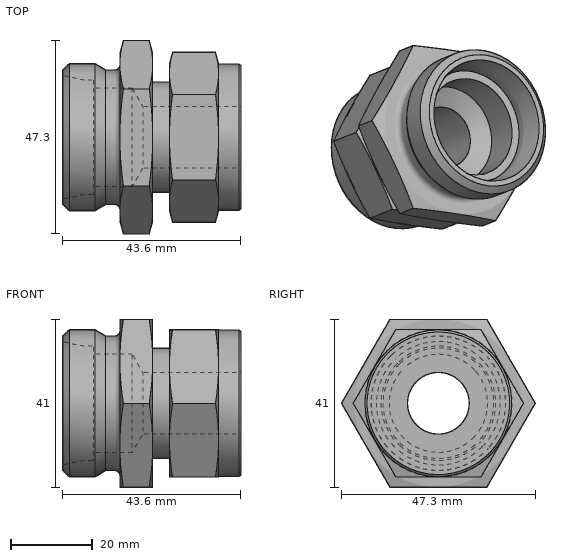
import cadquery as cq
import math

mouth_chamfer_end = 1.65
thread_end = 7.9
undercut_start = 10.5
undercut_end = 12.7
body_hex_start = 14.0
body_hex_end = 22.0
nut_start = 26.1
nut_end = 38.07
overall_length = 43.6

mouth_diameter = 32.8
thread_diameter = 36.0
undercut_diameter = 32.9
neck_diameter = 27.0
collar_diameter = 35.8
body_across_flats = 41.0
nut_across_flats = 36.0
collar_chamfer = 0.5
hex_chamfer_angle = 15.0
hex_sides = 6
hex_half_sector = 180.0 / hex_sides

tube_diameter = 27.95
cone_mouth_diameter = 30.2
cone_half_angle = 12.0
socket_depth = 7.5
bore_diameter = 24.0
bore_depth = 17.0
throat_diameter = 15.0
throat_cone_half_angle = 60.0


def make_turned_body():
    """Solid of revolution holding the male end, the neck and the rear collar."""
    fillet_size = body_hex_start - undercut_end
    undercut_radius = undercut_diameter / 2
    fillet_top_radius = undercut_radius + fillet_size
    arc_middle_offset = fillet_size * math.sqrt(0.5)
    fillet_middle = (undercut_end + arc_middle_offset, fillet_top_radius - arc_middle_offset)
    neck_radius = neck_diameter / 2
    collar_radius = collar_diameter / 2
    return (
        cq.Workplane("XY")
        .moveTo(0, 0)
        .lineTo(0, mouth_diameter / 2)
        .lineTo(mouth_chamfer_end, thread_diameter / 2)
        .lineTo(thread_end, thread_diameter / 2)
        .lineTo(undercut_start, undercut_radius)
        .lineTo(undercut_end, undercut_radius)
        .threePointArc(fillet_middle, (body_hex_start, fillet_top_radius))
        .lineTo(body_hex_end, fillet_top_radius)
        .lineTo(body_hex_end, neck_radius)
        .lineTo(nut_start, neck_radius)
        .lineTo(nut_start, collar_radius)
        .lineTo(overall_length - collar_chamfer, collar_radius)
        .lineTo(overall_length, collar_radius - collar_chamfer)
        .lineTo(overall_length, 0)
        .close()
        .revolve(360, (0, 0, 0), (1, 0, 0))
    )


def make_hex(start, end, across_flats):
    """Hexagon along X, corners on +-Y, with both ends turned to a shallow cone."""
    flat_radius = across_flats / 2
    corner_radius = flat_radius / math.cos(math.radians(hex_half_sector))
    chamfer_length = (corner_radius - flat_radius) * math.tan(math.radians(hex_chamfer_angle))
    prism = (
        cq.Workplane("YZ")
        .workplane(offset=start)
        .polygon(hex_sides, 2 * corner_radius)
        .extrude(end - start)
    )
    turned_envelope = (
        cq.Workplane("XY")
        .moveTo(start, 0)
        .lineTo(start, flat_radius)
        .lineTo(start + chamfer_length, corner_radius)
        .lineTo(end - chamfer_length, corner_radius)
        .lineTo(end, flat_radius)
        .lineTo(end, 0)
        .close()
        .revolve(360, (0, 0, 0), (1, 0, 0))
    )
    return prism.intersect(turned_envelope)


def make_bore():
    """Stepped through bore as a solid of revolution to be cut away."""
    tube_radius = tube_diameter / 2
    cone_mouth_radius = cone_mouth_diameter / 2
    cone_length = (cone_mouth_radius - tube_radius) / math.tan(math.radians(cone_half_angle))
    bore_radius = bore_diameter / 2
    throat_radius = throat_diameter / 2
    throat_cone_length = (bore_radius - throat_radius) / math.tan(math.radians(throat_cone_half_angle))
    return (
        cq.Workplane("XY")
        .moveTo(0, 0)
        .lineTo(0, cone_mouth_radius)
        .lineTo(cone_length, tube_radius)
        .lineTo(socket_depth, tube_radius)
        .lineTo(socket_depth, bore_radius)
        .lineTo(bore_depth, bore_radius)
        .lineTo(bore_depth + throat_cone_length, throat_radius)
        .lineTo(overall_length, throat_radius)
        .lineTo(overall_length, 0)
        .close()
        .revolve(360, (0, 0, 0), (1, 0, 0))
    )


body_hex = make_hex(body_hex_start, body_hex_end, body_across_flats)
nut_hex = make_hex(nut_start, nut_end, nut_across_flats)
result = make_turned_body().union(body_hex).union(nut_hex).cut(make_bore())